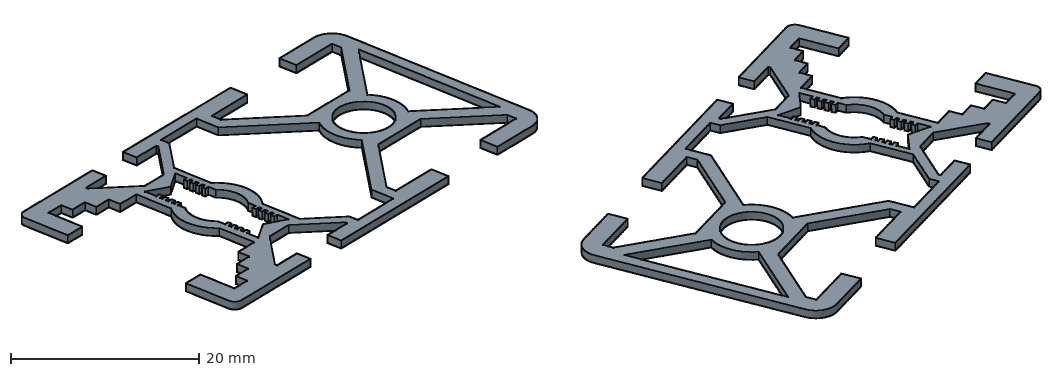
import cadquery as cq

WIDTH = 30.0
HEIGHT = 52.0
THICKNESS = 1.0
HALF_WIDTH = WIDTH / 2
TOP = HEIGHT / 2
BOTTOM = -HEIGHT / 2
TOP_CORNER_RADIUS = 2.5
BOTTOM_CORNER_RADIUS = 1.0

HUB_DEPTH = 12.4
HUB_Y = TOP - HUB_DEPTH
HUB_RADIUS = 4.9
BORE_RADIUS = 3.4
WALL = 1.45
TOP_BRACE_EDGE = 1.2
BOTTOM_BRACE_EDGE = 1.0

UPPER_MOUTH = 8.15
UPPER_LIP = 2.35
UPPER_SLOT_HEIGHT = 20.1
UPPER_FLOOR_X = HUB_RADIUS
UPPER_FLOOR_HEIGHT = 7.05
UPPER_CORNER_X = UPPER_FLOOR_X + (UPPER_SLOT_HEIGHT - UPPER_FLOOR_HEIGHT) / 2

CHANNEL_DEPTH = 36.95
CHANNEL_Y = TOP - CHANNEL_DEPTH
LOWER_MOUTH = 5.1
LOWER_LIP = 1.85
LOWER_SLOT_HEIGHT = 11.75
LOWER_FLOOR_X = 8.6
LOWER_FLOOR_HEIGHT = 3.15
LOWER_CORNER_X = LOWER_FLOOR_X + (LOWER_SLOT_HEIGHT - LOWER_FLOOR_HEIGHT) / 2

CHANNEL_HEIGHT = LOWER_MOUTH
CHANNEL_BORE_RADIUS = BORE_RADIUS
CHANNEL_SHELL_RADIUS = HUB_RADIUS
CHANNEL_HALF_WIDTH = 7.8
CHANNEL_POINT_X = 6.35
CHANNEL_TOP_WALL = 0.85
CHANNEL_BOTTOM_WALL = 1.05
CHANNEL_TOP = CHANNEL_Y + CHANNEL_HEIGHT / 2 + CHANNEL_TOP_WALL
CHANNEL_BOTTOM = CHANNEL_Y - CHANNEL_HEIGHT / 2 - CHANNEL_BOTTOM_WALL

TOOTH_COUNT = 4
TOOTH_PITCH = 0.85
TOOTH_WIDTH = 0.495
TOOTH_HEIGHT = 0.5
OUTER_TOOTH_X = 6.0

ROOM_HALF_WIDTH = HALF_WIDTH - WALL
ROOM_TOP = HUB_Y - UPPER_SLOT_HEIGHT / 2 - WALL
ROOM_SLOPE = 3.75
ROOM_BOTTOM = CHANNEL_TOP + ROOM_SLOPE
ROOM_SLOPE_X = 8.65

CHAMBER_MOUTH_X = 8.1
CHAMBER_LIP = 2.45
STEP_WIDTH = 1.55
STEP_HEIGHT = 2.1
STEP_COUNT = 3
FIRST_STEP_DROP = 2.7
FIRST_STEP_Y = CHANNEL_BOTTOM - FIRST_STEP_DROP


def prism(points):
    """Extrude a closed XY outline through the thickness."""
    return cq.Workplane("XY").polyline(points).close().extrude(THICKNESS)


def mirrored(right_side):
    """Left-hand points that continue an outline after its right-hand points."""
    return [(-x, y) for x, y in reversed(right_side)]


def symmetric_prism(right_side):
    """Extrude an outline given by its right-hand points, listed from top to bottom."""
    return prism(right_side + mirrored(right_side))


def disc(radius, y):
    return cq.Workplane("XY").center(0, y).circle(radius).extrude(THICKNESS)


def both_sides(solid):
    return solid.union(solid.mirror("YZ"))


def blank():
    plate = cq.Workplane("XY").rect(WIDTH, HEIGHT).extrude(THICKNESS)
    plate = plate.edges("|Z and >Y").fillet(TOP_CORNER_RADIUS)
    return plate.edges("|Z and <Y").fillet(BOTTOM_CORNER_RADIUS)


def side_slots(y, mouth, lip, height, corner_x, floor_x, floor_height):
    """Undercut slots in the left and right sides, narrowing at 45 degrees to the floor."""
    lip_x = HALF_WIDTH - lip
    upper_edge = [
        (HALF_WIDTH, mouth / 2),
        (lip_x, mouth / 2),
        (lip_x, height / 2),
        (corner_x, height / 2),
        (floor_x, floor_height / 2),
    ]
    lower_edge = [(x, -dy) for x, dy in reversed(upper_edge)]
    return both_sides(prism([(x, y + dy) for x, dy in upper_edge + lower_edge]))


def top_cell():
    """Triangle between the top wall and the two upper braces, ending at the hub."""
    ceiling = TOP - WALL
    apex_y = HUB_Y + TOP_BRACE_EDGE
    half_width = ceiling - apex_y
    triangle = prism([(-half_width, ceiling), (half_width, ceiling), (0, apex_y)])
    return triangle.cut(disc(HUB_RADIUS, HUB_Y))


def middle_room():
    """Room bounded by the hub, the lower braces, the side walls and the channel."""
    apex_y = HUB_Y - BOTTOM_BRACE_EDGE
    right_side = [
        (apex_y - ROOM_TOP, ROOM_TOP),
        (ROOM_HALF_WIDTH, ROOM_TOP),
        (ROOM_HALF_WIDTH, ROOM_BOTTOM),
        (ROOM_SLOPE_X + ROOM_SLOPE, ROOM_BOTTOM),
        (ROOM_SLOPE_X, CHANNEL_TOP),
    ]
    room = prism([(0, apex_y)] + right_side + mirrored(right_side))
    return room.cut(disc(HUB_RADIUS, HUB_Y)).cut(disc(CHANNEL_SHELL_RADIUS, CHANNEL_Y))


def channel_teeth():
    """Rows of rectangular teeth on the channel's upper and lower walls."""
    wall_offset = (CHANNEL_HEIGHT - TOOTH_HEIGHT) / 2
    centres = [
        (OUTER_TOOTH_X - i * TOOTH_PITCH, CHANNEL_Y + side * wall_offset)
        for i in range(TOOTH_COUNT)
        for side in (1, -1)
    ]
    teeth = cq.Workplane("XY").pushPoints(centres).rect(TOOTH_WIDTH, TOOTH_HEIGHT)
    return both_sides(teeth.extrude(THICKNESS))


def screw_channel():
    half_height = CHANNEL_HEIGHT / 2
    channel = symmetric_prism([
        (CHANNEL_HALF_WIDTH, CHANNEL_Y + half_height),
        (CHANNEL_POINT_X, CHANNEL_Y),
        (CHANNEL_HALF_WIDTH, CHANNEL_Y - half_height),
    ])
    return channel.union(disc(CHANNEL_BORE_RADIUS, CHANNEL_Y)).cut(channel_teeth())


def stepped_chamber():
    """Chamber below the channel, widening downwards in steps above the bottom lips."""
    x = CHAMBER_MOUTH_X
    y = FIRST_STEP_Y
    right_side = [(x, CHANNEL_BOTTOM), (x, y)]
    for _ in range(STEP_COUNT - 1):
        x += STEP_WIDTH
        right_side += [(x, y), (x, y - STEP_HEIGHT)]
        y -= STEP_HEIGHT
    x += STEP_WIDTH
    lip_y = BOTTOM + CHAMBER_LIP
    right_side += [(x, y), (x, lip_y), (CHAMBER_MOUTH_X, lip_y), (CHAMBER_MOUTH_X, BOTTOM)]
    return symmetric_prism(right_side).cut(disc(CHANNEL_SHELL_RADIUS, CHANNEL_Y))


upper_slots = side_slots(
    HUB_Y, UPPER_MOUTH, UPPER_LIP, UPPER_SLOT_HEIGHT, UPPER_CORNER_X, UPPER_FLOOR_X, UPPER_FLOOR_HEIGHT
)
lower_slots = side_slots(
    CHANNEL_Y, LOWER_MOUTH, LOWER_LIP, LOWER_SLOT_HEIGHT, LOWER_CORNER_X, LOWER_FLOOR_X, LOWER_FLOOR_HEIGHT
)

result = (
    blank()
    .cut(upper_slots)
    .cut(lower_slots)
    .cut(top_cell())
    .cut(disc(BORE_RADIUS, HUB_Y))
    .cut(middle_room())
    .cut(screw_channel())
    .cut(stepped_chamber())
)